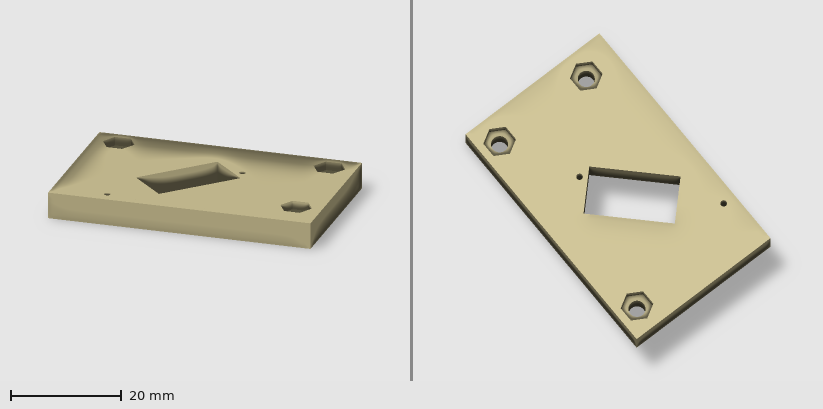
import cadquery as cq
import math

length = 49.8
width = 30.95
thickness = 5.0

screw_diameter = 3.1
screw_spacing_x = 40.0
screw_spacing_y = 20.0
screw_edge_margin = 4.0
nut_across_flats = 5.2
nut_depth = 1.65
nut_across_corners = nut_across_flats / math.cos(math.radians(30))

screw_x = screw_spacing_x / 2
rear_screw_y = width / 2 - screw_edge_margin
front_screw_y = rear_screw_y - screw_spacing_y
screw_points = [
    (-screw_x, rear_screw_y),
    (screw_x, rear_screw_y),
    (screw_x, front_screw_y),
]

window_length = 16.65
window_width = 9.0
window_angle = 45
window_center = (-2.9, -0.95)

pin_diameter = 1.2
pin_points = [(5.75, 4.35), (-14.45, -12.95)]


def through_holes(points, diameter):
    """Cylinders that pass through the full plate thickness."""
    return cq.Workplane("XY").pushPoints(points).circle(diameter / 2).extrude(thickness)


def nut_pockets():
    """Hexagonal prisms sunk from the top face, with corners along X."""
    return (
        cq.Workplane("XY", origin=(0, 0, thickness))
        .pushPoints(screw_points)
        .polygon(6, nut_across_corners)
        .extrude(-nut_depth)
    )


def window():
    """Rectangular prism turned about Z and moved to its place."""
    return (
        cq.Workplane("XY")
        .rect(window_length, window_width)
        .extrude(thickness)
        .rotate((0, 0, 0), (0, 0, 1), window_angle)
        .translate((*window_center, 0))
    )


plate = cq.Workplane("XY").rect(length, width).extrude(thickness)
result = (
    plate.cut(through_holes(screw_points, screw_diameter))
    .cut(nut_pockets())
    .cut(window())
    .cut(through_holes(pin_points, pin_diameter))
)